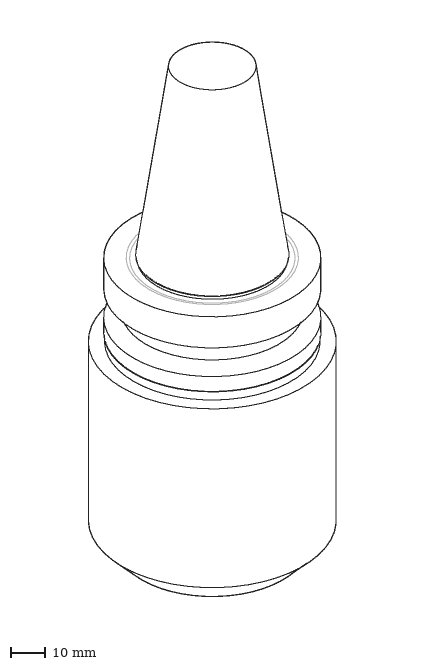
import cadquery as cq

total_height = 165.4

body_diameter = 72.0
body_top = 70.1
nose_diameter = 56.0
nose_height = 8.3

collar_diameter = 62.5
collar_top = 73.1

flange_diameter = 63.0
flange_top = 99.0
groove_diameter = 53.0
groove_middle = 83.4
groove_floor_width = 5.0
groove_mouth_width = 10.0

taper_base = 100.0
taper_base_diameter = 44.5
taper_tip_diameter = 25.5
neck_diameter = 43.8

recess_diameter = 50.0
recess_floor_diameter = 48.0
recess_depth = 0.2


def revolved(profile):
    """Revolve (diameter, height) points, listed from bottom to top, about Z."""
    outline = [(diameter / 2, height) for diameter, height in profile]
    bottom = profile[0][1]
    top = profile[-1][1]
    closed = [(0, bottom)] + outline + [(0, top)]
    return cq.Workplane("XZ").polyline(closed).close().revolve(360, (0, 0), (0, 1))


body_profile = [
    (nose_diameter, 0),
    (body_diameter, nose_height),
    (body_diameter, body_top),
]

flange_profile = [
    (collar_diameter, body_top),
    (collar_diameter, collar_top),
    (flange_diameter, collar_top),
    (flange_diameter, groove_middle - groove_mouth_width / 2),
    (groove_diameter, groove_middle - groove_floor_width / 2),
    (groove_diameter, groove_middle + groove_floor_width / 2),
    (flange_diameter, groove_middle + groove_mouth_width / 2),
    (flange_diameter, flange_top),
]

recess_floor = flange_top - recess_depth
shank_profile = [
    (recess_diameter, flange_top),
    (recess_floor_diameter, recess_floor),
    (neck_diameter, recess_floor),
    (neck_diameter, taper_base),
    (taper_base_diameter, taper_base),
    (taper_tip_diameter, total_height),
]

result = revolved(body_profile + flange_profile + shank_profile)